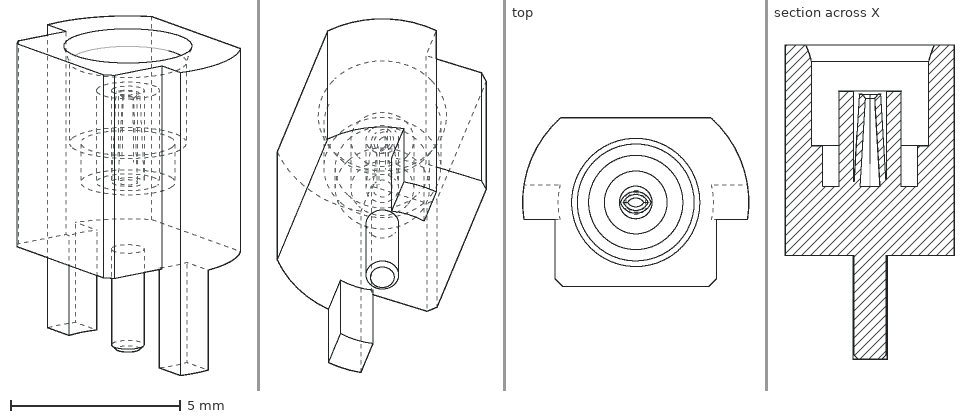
import cadquery as cq
import math

HEIGHT = 9.3
BODY_BASE_Z = 3.07
BODY_RADIUS = 3.35
BACK_Y = 2.51
FRONT_Y = -2.49
NOSE_HALF_WIDTH = 2.39
NOSE_CHAMFER = 0.23

LEG_HALF_DEPTH = 0.51
LEG_INNER_RADIUS = 2.3

PIN_RADIUS = 0.48
PIN_CHAMFER = 0.13

MOUTH_RADIUS = 1.9
MOUTH_DEPTH = 0.49
BORE_RADIUS = 1.73
SHELF_DEPTH = 2.98
LOWER_BORE_RADIUS = 1.395
BORE_DEPTH = 4.185

POST_RADIUS = 0.93
POST_TOP_DEPTH = 1.37

CONTACT_RADIUS = PIN_RADIUS
CONTACT_RECESS = 0.11
CONTACT_MOUTH_RADIUS = 0.4
CONTACT_HOLE_RADIUS = 0.29
CONTACT_MOUTH_DEPTH = 0.11
CONTACT_ROOT_DEPTH = 0.09
TIP_SHIFT = 0.163


def cylinder(radius, bottom, top):
    return cq.Workplane("XY").workplane(offset=bottom).circle(radius).extrude(top - bottom)


def make_body():
    """Round body with a flat back and a chamfered rectangular nose."""
    height = HEIGHT - BODY_BASE_Z
    base = cq.Workplane("XY").workplane(offset=BODY_BASE_Z)
    rear_depth = BACK_Y + LEG_HALF_DEPTH
    rear_limit = (
        base.center(0, BACK_Y - rear_depth / 2)
        .rect(2 * BODY_RADIUS, rear_depth)
        .extrude(height)
    )
    rear = cylinder(BODY_RADIUS, BODY_BASE_Z, HEIGHT).intersect(rear_limit)
    nose = (
        base.center(0, FRONT_Y / 2)
        .rect(2 * NOSE_HALF_WIDTH, -FRONT_Y)
        .extrude(height)
        .edges("|Z and <Y")
        .chamfer(NOSE_CHAMFER)
    )
    return rear.union(nose)


def make_legs():
    """Two legs cut from a ring by a band across the axis."""
    ring = cylinder(BODY_RADIUS, 0, BODY_BASE_Z).cut(cylinder(LEG_INNER_RADIUS, 0, BODY_BASE_Z))
    band = cq.Workplane("XY").rect(2 * BODY_RADIUS, 2 * LEG_HALF_DEPTH).extrude(BODY_BASE_Z)
    return ring.intersect(band)


def make_bore():
    """Stepped round bore with a conical mouth."""
    shelf_z = HEIGHT - SHELF_DEPTH
    floor_z = HEIGHT - BORE_DEPTH
    profile = [
        (0, HEIGHT),
        (MOUTH_RADIUS, HEIGHT),
        (BORE_RADIUS, HEIGHT - MOUTH_DEPTH),
        (BORE_RADIUS, shelf_z),
        (LOWER_BORE_RADIUS, shelf_z),
        (LOWER_BORE_RADIUS, floor_z),
        (0, floor_z),
    ]
    return cq.Workplane("XZ").polyline(profile).close().revolve(360, (0, 0), (0, 1))


def make_post():
    """Hollow post rising from the bore floor."""
    floor_z = HEIGHT - BORE_DEPTH
    top_z = HEIGHT - POST_TOP_DEPTH
    return cylinder(POST_RADIUS, floor_z, top_z).cut(cylinder(CONTACT_RADIUS, floor_z, top_z))


def make_contact():
    """Two hollow half cylinders leaning toward each other from the bore floor."""
    floor_z = HEIGHT - BORE_DEPTH
    length = BORE_DEPTH - POST_TOP_DEPTH - CONTACT_RECESS
    tip_z = floor_z + length
    root_z = floor_z - CONTACT_ROOT_DEPTH
    lean = math.degrees(math.asin(TIP_SHIFT / length))
    profile = [
        (CONTACT_HOLE_RADIUS, root_z),
        (CONTACT_RADIUS, root_z),
        (CONTACT_RADIUS, tip_z),
        (CONTACT_MOUTH_RADIUS, tip_z),
        (CONTACT_HOLE_RADIUS, tip_z - CONTACT_MOUTH_DEPTH),
    ]
    straight = cq.Workplane("XZ").polyline(profile).close().revolve(360, (0, 0), (0, 1))
    leaning = straight.rotate((0, 0, floor_z), (1, 0, floor_z), lean)
    back_side = cq.Workplane("XY").box(
        2 * BODY_RADIUS, BODY_RADIUS, HEIGHT, centered=(True, False, False)
    )
    half = leaning.intersect(back_side)
    return half.union(half.mirror("XZ"))


def make_pin():
    pin = cylinder(PIN_RADIUS, 0, BODY_BASE_Z)
    return pin.faces("<Z").chamfer(PIN_CHAMFER)


result = (
    make_body()
    .cut(make_bore())
    .union(make_legs())
    .union(make_pin())
    .union(make_post())
    .union(make_contact())
)